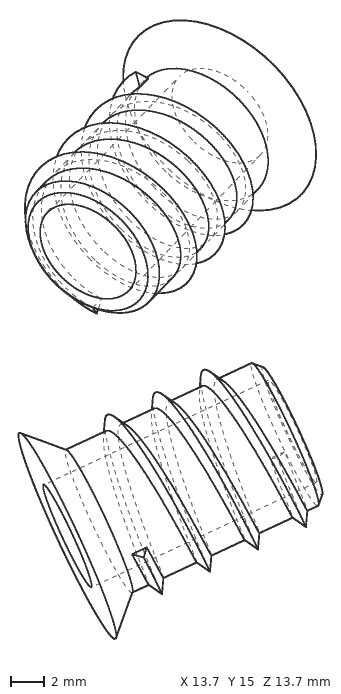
import cadquery as cq
import math

TOTAL_LENGTH = 15.0
HEAD_RADIUS = 6.85
BODY_RADIUS = 4.75
BORE_RADIUS = 3.4
TIP_CHAMFER = 0.5
HEAD_HEIGHT = HEAD_RADIUS - BODY_RADIUS

THREAD_PITCH = 3.2
THREAD_HEIGHT = 0.85
THREAD_ANGLE = 60.0
THREAD_START_DEPTH = 3.2
THREAD_START_ANGLE = 45.0
FULL_TURNS = 3
THREAD_TURNS = FULL_TURNS + (180 - THREAD_START_ANGLE) / 360
ROOT_OVERLAP = 0.3


def make_body():
    """Revolve the countersunk head, cylindrical body, tip chamfer and bore."""
    tip_radius = BODY_RADIUS - TIP_CHAMFER
    profile = (
        cq.Workplane("YZ")
        .moveTo(0, BORE_RADIUS)
        .lineTo(0, HEAD_RADIUS)
        .lineTo(-HEAD_HEIGHT, BODY_RADIUS)
        .lineTo(TIP_CHAMFER - TOTAL_LENGTH, BODY_RADIUS)
        .lineTo(-TOTAL_LENGTH, tip_radius)
        .lineTo(-TOTAL_LENGTH, BORE_RADIUS)
        .close()
    )
    return profile.revolve(360, (0, 0, 0), (1, 0, 0))


def make_thread():
    """Sweep a V section with a sunken root along the helix, then place it."""
    root_radius = BODY_RADIUS - ROOT_OVERLAP
    crest_radius = BODY_RADIUS + THREAD_HEIGHT
    root_half_width = (crest_radius - root_radius) * math.tan(math.radians(THREAD_ANGLE / 2))
    helix = cq.Wire.makeHelix(THREAD_PITCH, THREAD_PITCH * THREAD_TURNS, BODY_RADIUS)
    ridge = (
        cq.Workplane("XZ")
        .moveTo(root_radius, -root_half_width)
        .lineTo(crest_radius, 0)
        .lineTo(root_radius, root_half_width)
        .close()
        .sweep(cq.Workplane(obj=helix), isFrenet=True)
    )
    ridge = ridge.rotate((0, 0, 0), (1, 0, 0), 90)
    ridge = ridge.rotate((0, 0, 0), (0, 1, 0), -90 - THREAD_START_ANGLE)
    return ridge.translate((0, -THREAD_START_DEPTH, 0))


result = make_body().union(make_thread()).solids()